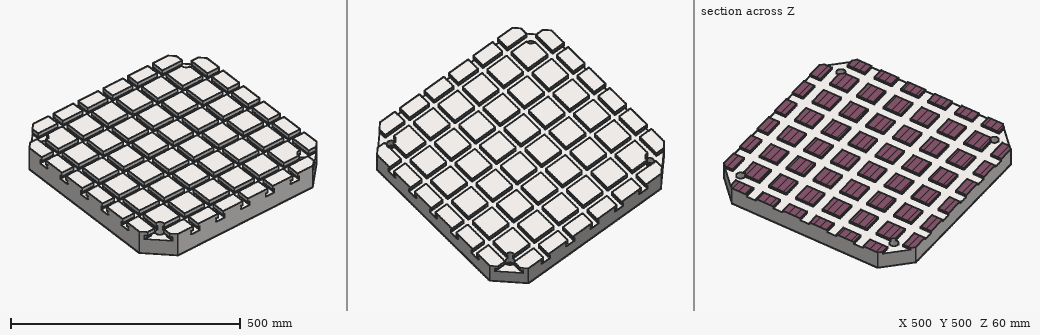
import cadquery as cq

PLATE_SIDE = 500.0
PLATE_THICKNESS = 60.0
CORNER_CHAMFER = 60.0

SLOT_COUNT = 7
SLOT_PITCH = 70.0
NECK_WIDTH = 14.0
NECK_DEPTH = 11.0
TEE_WIDTH = 24.0
TEE_HEIGHT = 9.0
SLOT_DEPTH = NECK_DEPTH + TEE_HEIGHT

HOLE_SPACING = 400.0
HOLE_DIAMETER = 14.0
COUNTERBORE_DIAMETER = 20.0
COUNTERBORE_DEPTH = 40.0


def make_plate():
    """Solid plate with its four vertical corners cut off at 45 degrees."""
    plate = cq.Workplane("XY").rect(PLATE_SIDE, PLATE_SIDE).extrude(PLATE_THICKNESS)
    return plate.edges("|Z").chamfer(CORNER_CHAMFER)


def make_slot(offset):
    """T-slot cutter running along X across the whole plate, centred at Y = offset."""
    floor_z = PLATE_THICKNESS - SLOT_DEPTH
    centered = (True, True, False)
    tee = cq.Workplane("XY").box(PLATE_SIDE, TEE_WIDTH, TEE_HEIGHT, centered=centered)
    neck = cq.Workplane("XY").box(PLATE_SIDE, NECK_WIDTH, SLOT_DEPTH, centered=centered)
    return tee.union(neck).translate((0, offset, floor_z))


def cut_slots(plate):
    """Cut the same row of T-slots along X and along Y."""
    for index in range(SLOT_COUNT):
        offset = (index - (SLOT_COUNT - 1) / 2) * SLOT_PITCH
        slot = make_slot(offset)
        plate = plate.cut(slot)
        plate = plate.cut(slot.rotate((0, 0, 0), (0, 0, 1), 90))
    return plate


def cut_mounting_holes(plate):
    """Drill the corner holes through the plate and counterbore them from the top face."""
    centers = cq.Workplane("XY").rect(HOLE_SPACING, HOLE_SPACING, forConstruction=True).vertices()
    through_holes = centers.circle(HOLE_DIAMETER / 2).extrude(PLATE_THICKNESS)
    counterbore_floor = PLATE_THICKNESS - COUNTERBORE_DEPTH
    counterbores = centers.circle(COUNTERBORE_DIAMETER / 2).extrude(COUNTERBORE_DEPTH)
    counterbores = counterbores.translate((0, 0, counterbore_floor))
    return plate.cut(through_holes).cut(counterbores)


def keep_main_body(part):
    """Discard the loose chips left where the outermost slots cross next to each chamfer."""
    return cq.Workplane("XY").newObject([max(part.solids().vals(), key=lambda solid: solid.Volume())])


slotted_plate = keep_main_body(cut_slots(make_plate()))
result = cut_mounting_holes(slotted_plate)